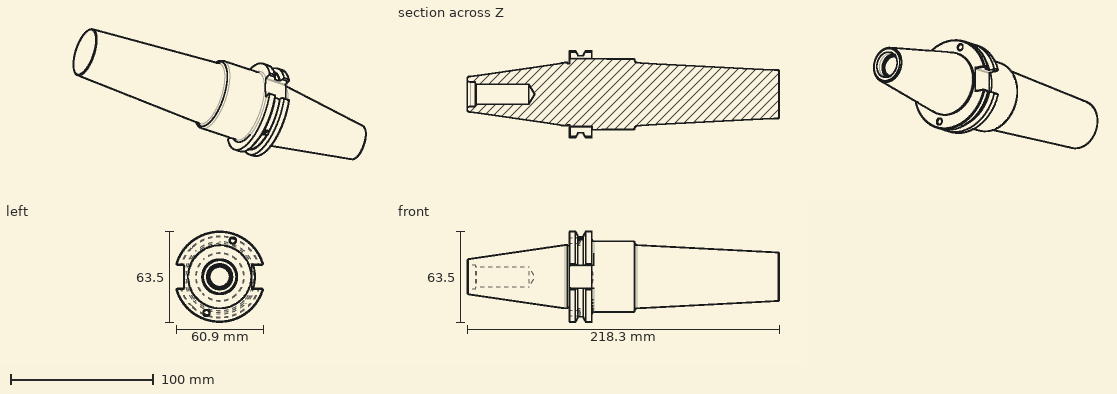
import cadquery as cq
import math

shank_length = 68.25
projection = 150.0
gauge_radius = 44.45 / 2
taper_ratio = 7 / 24
tip_radius = gauge_radius - shank_length * taper_ratio / 2
tip_chamfer = 0.8
gauge_land = 1.8
relief_radius = 21.7

flange_front = 3.175
flange_back = 19.05
flange_radius = 63.5 / 2
flange_chamfer = 0.5
back_fillet = 1.2
groove_center = 11.1
groove_mouth_half = 3.65
groove_floor_radius = 56.36 / 2
groove_floor_half = 1.9
groove_flank_angle = 30.0
groove_flank_depth = (groove_mouth_half - groove_floor_half) / math.tan(math.radians(groove_flank_angle))

slot_half_width = 16.1 / 2
slot_rim_chamfer = 1.0
slot_face_chamfer = 0.6
slot_floor_fillet = 0.4
shallow_slot_floor = 25.0
deep_slot_floor = 22.6

body_radius = 24.85
body_end = 49.1
body_fillet = 1.2
nose_radius = 34.0 / 2
nose_chamfer = 0.5
nose_angle = 3.0
nose_slope = math.tan(math.radians(nose_angle))
neck_radius = nose_radius + (projection - body_end) * nose_slope
neck_fillet = 1.4

mouth_radius = 17.0 / 2
mouth_chamfer = 0.5
mouth_chamfer_length = 2.0
mouth_depth = 5.5
thread_core_radius = 13.835 / 2
core_chamfer = 0.8
bore_depth = 43.0
drill_point_angle = 118.0

first_port_angle = 110.0
port_count = 2
port_diameter = 4.0
port_chamfer = 0.4
port_circle_radius = 27.0
port_floor_radius = 24.0


def revolve_about_axis(outline):
    return outline.close().revolve(360, (0, 0, 0), (1, 0, 0))


def make_shank():
    outline = (
        cq.Workplane("XZ")
        .moveTo(-shank_length, 0)
        .lineTo(-shank_length, tip_radius - tip_chamfer)
        .lineTo(tip_chamfer - shank_length, tip_radius + tip_chamfer * taper_ratio / 2)
        .lineTo(0, gauge_radius)
        .lineTo(gauge_land, gauge_radius)
        .lineTo(gauge_land, relief_radius)
        .lineTo(flange_front, relief_radius)
        .lineTo(flange_front, 0)
    )
    return revolve_about_axis(outline)


def make_flange():
    flank_foot_radius = flange_radius - groove_flank_depth
    outline = (
        cq.Workplane("XZ")
        .moveTo(flange_front, 0)
        .lineTo(flange_front, flange_radius - flange_chamfer)
        .lineTo(flange_front + flange_chamfer, flange_radius)
        .lineTo(groove_center - groove_mouth_half, flange_radius)
        .lineTo(groove_center - groove_floor_half, flank_foot_radius)
        .lineTo(groove_center - groove_floor_half, groove_floor_radius)
        .lineTo(groove_center + groove_floor_half, groove_floor_radius)
        .lineTo(groove_center + groove_floor_half, flank_foot_radius)
        .lineTo(groove_center + groove_mouth_half, flange_radius)
        .lineTo(flange_back, flange_radius)
        .lineTo(flange_back, body_radius + back_fillet)
        .radiusArc((flange_back + back_fillet, body_radius), -back_fillet)
        .lineTo(flange_back + back_fillet, 0)
    )
    return revolve_about_axis(outline)


def make_slot(side, floor_distance):
    """Drive slot on the +Y (side = 1) or -Y (side = -1) flank, flared at the flange rim and front face."""
    rim = math.sqrt(flange_radius**2 - (slot_half_width + slot_rim_chamfer) ** 2)
    flare_start = rim - slot_rim_chamfer
    outside = flange_radius + slot_rim_chamfer
    outside_half_width = slot_half_width + outside - flare_start
    points = [
        (side * floor_distance, -slot_half_width),
        (side * flare_start, -slot_half_width),
        (side * outside, -outside_half_width),
        (side * outside, outside_half_width),
        (side * flare_start, slot_half_width),
        (side * floor_distance, slot_half_width),
    ]
    slot_back = flange_back + back_fillet
    slot = (
        cq.Workplane("YZ", origin=(flange_front, 0, 0))
        .polyline(points)
        .close()
        .extrude(slot_back - flange_front)
    )
    floor_selector = "<Y" if side > 0 else ">Y"
    slot = slot.faces(floor_selector).edges("|X").fillet(slot_floor_fillet)
    face_half_width = slot_half_width + slot_face_chamfer
    face_flare = (
        cq.Workplane("XZ", origin=(0, side * floor_distance, 0))
        .moveTo(flange_front, -face_half_width)
        .lineTo(flange_front, face_half_width)
        .lineTo(flange_front + slot_face_chamfer, slot_half_width)
        .lineTo(flange_front + slot_face_chamfer, -slot_half_width)
        .close()
        .extrude(side * (floor_distance - outside))
    )
    return slot.union(face_flare)


def make_body():
    neck_start = body_end + neck_fillet
    outline = (
        cq.Workplane("XZ")
        .moveTo(flange_back, 0)
        .lineTo(flange_back, body_radius)
        .lineTo(body_end - body_fillet, body_radius)
        .radiusArc((body_end, body_radius - body_fillet), body_fillet)
        .lineTo(body_end, neck_radius + neck_fillet)
        .radiusArc((neck_start, neck_radius - neck_fillet * nose_slope), -neck_fillet)
        .lineTo(projection - nose_chamfer, nose_radius + nose_chamfer * nose_slope)
        .lineTo(projection, nose_radius - nose_chamfer)
        .lineTo(projection, 0)
    )
    return revolve_about_axis(outline)


def make_bore():
    cone_length = thread_core_radius / math.tan(math.radians(drill_point_angle / 2))
    tip = -shank_length
    outline = (
        cq.Workplane("XZ")
        .moveTo(tip, 0)
        .lineTo(tip, mouth_radius + mouth_chamfer)
        .lineTo(tip + mouth_chamfer_length, mouth_radius)
        .lineTo(tip + mouth_depth, mouth_radius)
        .lineTo(tip + mouth_depth, thread_core_radius + core_chamfer)
        .lineTo(tip + mouth_depth + core_chamfer, thread_core_radius)
        .lineTo(tip + bore_depth, thread_core_radius)
        .lineTo(tip + bore_depth + cone_length, 0)
    )
    return revolve_about_axis(outline)


def make_port(angle):
    """Countersunk axial hole from the flange face into a radial hole from the groove floor."""
    axial = (
        cq.Workplane("YZ", origin=(flange_front, 0, 0))
        .center(port_circle_radius, 0)
        .circle(port_diameter / 2)
        .extrude(groove_center - flange_front)
    )
    countersink = (
        cq.Workplane("YZ", origin=(flange_front, 0, 0))
        .center(port_circle_radius, 0)
        .circle(port_diameter / 2 + port_chamfer)
        .workplane(offset=port_chamfer)
        .circle(port_diameter / 2)
        .loft()
    )
    radial = (
        cq.Workplane("XZ", origin=(groove_center, port_floor_radius, 0))
        .circle(port_diameter / 2)
        .extrude(port_floor_radius - flange_radius)
    )
    return axial.union(countersink).union(radial).rotate((0, 0, 0), (1, 0, 0), angle)


flange = make_flange()
flange = flange.cut(make_slot(1, shallow_slot_floor))
flange = flange.cut(make_slot(-1, deep_slot_floor))
for index in range(port_count):
    flange = flange.cut(make_port(first_port_angle + index * 360 / port_count))

result = make_shank().union(flange).union(make_body()).cut(make_bore())